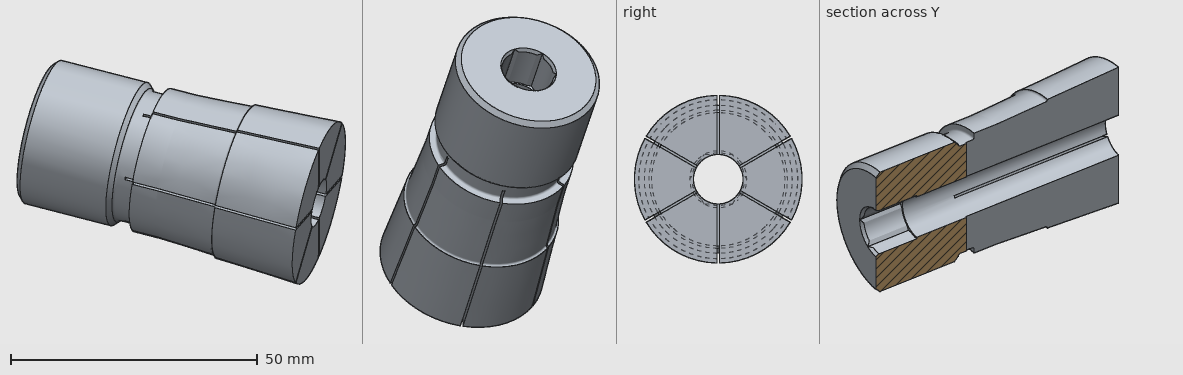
import cadquery as cq
import math

overall_length = 59.8
mouth_radius = 17.0

shank_radius = 15.0
shank_length = 20.3
shank_chamfer = 1.0

groove_radius = 13.5
groove_end = 24.3
corner_fillet = 0.5

head_cylinder_end = 29.8
step_position = 42.3
flare_half_angle = 3.0

bore_diameter = 10.0
hex_sides = 6
hex_across_flats = 10.0
pilot_diameter = 10.7
socket_depth = 10.0
entry_half_angle = 30.0

slot_count = 6
slot_width = 0.5
slot_start = (shank_length + groove_end) / 2

fillet_inset = corner_fillet * (1 - math.sqrt(0.5))

flare_slope = math.tan(math.radians(flare_half_angle))
hex_across_corners = hex_across_flats / math.cos(math.pi / hex_sides)


def add_fillet_up(profile, wall_position, floor_radius):
    """Continue a profile from a floor up into a wall facing -X, through a quarter-round fillet."""
    middle = (wall_position - fillet_inset, floor_radius + fillet_inset)
    end = (wall_position, floor_radius + corner_fillet)
    return profile.threePointArc(middle, end)


def add_fillet_down(profile, wall_position, floor_radius):
    """Continue a profile from a wall facing +X down into a floor, through a quarter-round fillet."""
    middle = (wall_position + fillet_inset, floor_radius + fillet_inset)
    end = (wall_position + corner_fillet, floor_radius)
    return profile.threePointArc(middle, end)


def make_body():
    """Revolve the outer outline of the collet about the X axis."""
    first_cone_end = step_position - corner_fillet
    first_cone_end_radius = shank_radius + (first_cone_end - head_cylinder_end) * flare_slope
    second_cone_radius = mouth_radius - (overall_length - step_position) * flare_slope

    profile = (
        cq.Workplane("XY")
        .lineTo(0, shank_radius - shank_chamfer)
        .lineTo(shank_chamfer, shank_radius)
        .lineTo(shank_length - shank_chamfer, shank_radius)
        .lineTo(shank_length, shank_radius - shank_chamfer)
    )
    profile = add_fillet_down(profile, shank_length, groove_radius)
    profile = profile.lineTo(groove_end - corner_fillet, groove_radius)
    profile = add_fillet_up(profile, groove_end, groove_radius)
    profile = (
        profile.lineTo(groove_end, shank_radius)
        .lineTo(head_cylinder_end, shank_radius)
        .lineTo(first_cone_end, first_cone_end_radius)
    )
    profile = add_fillet_up(profile, step_position, first_cone_end_radius)
    profile = (
        profile.lineTo(step_position, second_cone_radius)
        .lineTo(overall_length, mouth_radius)
        .lineTo(overall_length, 0)
        .close()
    )
    return profile.revolve(360, (0, 0, 0), (1, 0, 0))


def cut_bore(body):
    """Cut the through hole and the socket with its countersunk entry."""
    through_hole = cq.Workplane("YZ").circle(bore_diameter / 2).extrude(overall_length)
    hexagon = cq.Workplane("YZ").polygon(hex_sides, hex_across_corners).extrude(socket_depth)
    pilot = cq.Workplane("YZ").circle(pilot_diameter / 2).extrude(socket_depth)
    entry_radius = hex_across_corners / 2
    entry_depth = (entry_radius - pilot_diameter / 2) / math.tan(math.radians(entry_half_angle))
    entry = (
        cq.Workplane("YZ")
        .circle(entry_radius)
        .workplane(offset=entry_depth)
        .circle(pilot_diameter / 2)
        .loft(ruled=True)
    )
    return body.cut(through_hole).cut(hexagon).cut(pilot).cut(entry)


def cut_slots(body):
    """Cut the radial slots from the groove to the mouth, starting at the top."""
    slot_length = overall_length - slot_start
    slot = (
        cq.Workplane("XY")
        .box(slot_length, slot_width, mouth_radius, centered=(False, True, False))
        .translate((slot_start, 0, 0))
    )
    for index in range(slot_count):
        angle = index * 360 / slot_count
        body = body.cut(slot.rotate((0, 0, 0), (1, 0, 0), angle))
    return body


result = cut_slots(cut_bore(make_body()))